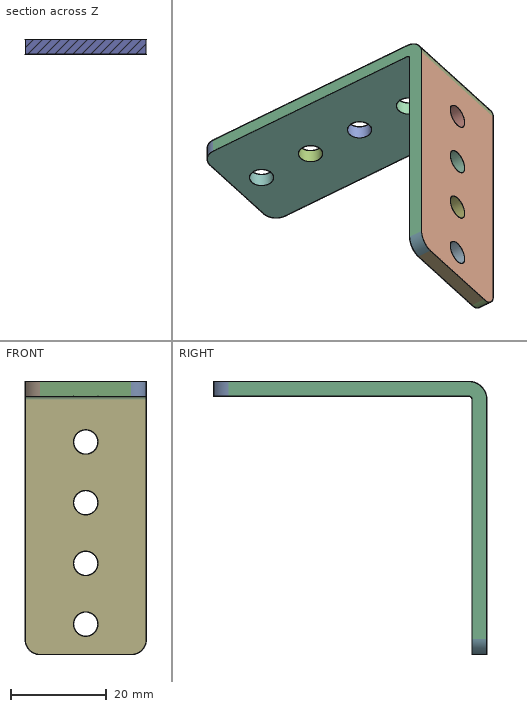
import cadquery as cq

leg_length = 57.15
width = 25.4
thickness = 3.15
inner_bend_radius = 0.7
corner_radius = 3.2
hole_diameter = 5.05
hole_count = 4

hole_pitch = width / 2
outer_bend_radius = inner_bend_radius + thickness
hole_distances = [hole_pitch * (i + 1) for i in range(hole_count)]


def make_bent_plate():
    """L-shaped strip with its outer bend at Y = 0, Z = 0, centred on X = 0."""
    profile = (
        cq.Workplane("YZ")
        .polyline([
            (0, 0),
            (-leg_length, 0),
            (-leg_length, -thickness),
            (-thickness, -thickness),
            (-thickness, -leg_length),
            (0, -leg_length),
        ])
        .close()
    )
    plate = profile.extrude(width / 2, both=True)
    plate = plate.edges(cq.selectors.NearestToPointSelector((0, 0, 0))).fillet(outer_bend_radius)
    inner_edge = cq.selectors.NearestToPointSelector((0, -thickness, -thickness))
    return plate.edges(inner_edge).fillet(inner_bend_radius)


def round_free_corners(plate):
    """Round the two corners at the free end of each leg."""
    plate = plate.faces("<Y").edges("|Z").fillet(corner_radius)
    return plate.faces("<Z").edges("|Y").fillet(corner_radius)


def make_hole_row(plane, points):
    """Pins that cut one row of holes through a leg, along the plane's normal."""
    return cq.Workplane(plane).pushPoints(points).circle(hole_diameter / 2).extrude(thickness, both=True)


top_leg_holes = make_hole_row("XY", [(0, -distance) for distance in hole_distances])
upright_leg_holes = make_hole_row("XZ", [(0, -distance) for distance in hole_distances])

result = round_free_corners(make_bent_plate()).cut(top_leg_holes).cut(upright_leg_holes)